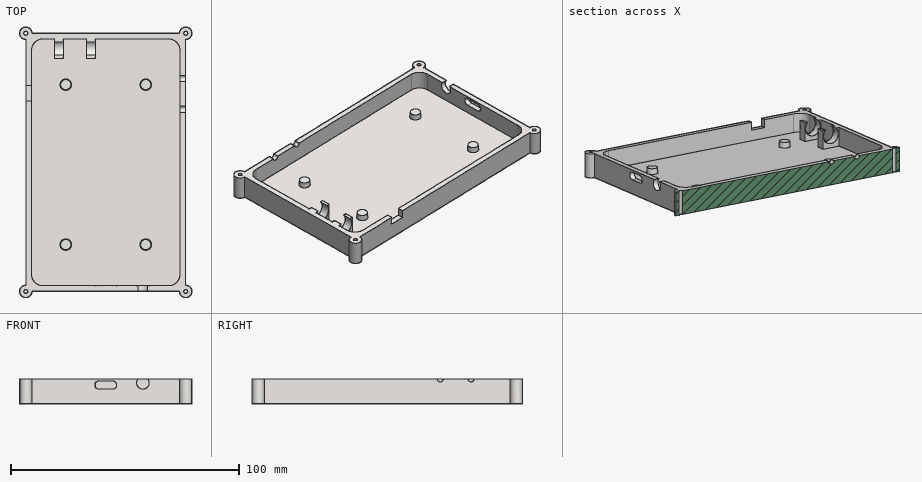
import cadquery as cq

BODY_X = 70.0
BODY_Y = 113.0
HEIGHT = 11.0
WALL = 2.5
FLOOR = 2.5
CAVITY_RADIUS = 5.0

LUG_DIAMETER = 5.5
LUG_HOLE_DIAMETER = 1.6

STANDOFF_BASE_DIAMETER = 5.0
STANDOFF_TOP_DIAMETER = 4.5
STANDOFF_HEIGHT = 2.5
STANDOFF_SPACING_X = 35.0
STANDOFF_SPACING_Y = 70.0
STANDOFF_CENTER_Y = -1.0

CRADLE_CENTERS_X = (-20.5, -6.5)
CRADLE_WIDTH = 4.0
CRADLE_LENGTH = 8.5
CRADLE_BORE_DIAMETER = 7.8
CRADLE_BORE_Y = 49.75
CRADLE_BORE_Z = 8.3

SLOT_LENGTH = 9.6
SLOT_HEIGHT = 3.5
SLOT_CENTER_X = 0.0
SLOT_CENTER_Z = 8.25
PORT_DIAMETER = 5.5
PORT_CENTER_X = 16.25
PORT_CENTER_Z = 9.2

NOTCH_WIDTH = 6.8
NOTCH_DEPTH = 3.6
NOTCH_CENTER_Y = 30.2

GROOVE_CENTERS_Y = (36.7, 23.2)
GROOVE_DIAMETER = 2.7

CAVITY_X = BODY_X - 2 * WALL
CAVITY_Y = BODY_Y - 2 * WALL
INNER_WALL_Y = CAVITY_Y / 2
CUT_LENGTH = 2 * WALL


def make_tray():
    """Open box with rounded cavity corners and a drilled lug at each corner."""
    body = cq.Workplane("XY").box(BODY_X, BODY_Y, HEIGHT, centered=(True, True, False))
    lugs = (
        cq.Workplane("XY")
        .rect(BODY_X, BODY_Y, forConstruction=True)
        .vertices()
        .circle(LUG_DIAMETER / 2)
        .extrude(HEIGHT)
    )
    cavity = (
        cq.Workplane("XY", origin=(0, 0, FLOOR))
        .rect(CAVITY_X, CAVITY_Y)
        .extrude(HEIGHT)
        .edges("|Z")
        .fillet(CAVITY_RADIUS)
    )
    lug_holes = (
        cq.Workplane("XY")
        .rect(BODY_X, BODY_Y, forConstruction=True)
        .vertices()
        .circle(LUG_HOLE_DIAMETER / 2)
        .extrude(HEIGHT)
    )
    return body.union(lugs).cut(cavity).cut(lug_holes)


def make_standoff(x, y):
    """Tapered post standing on the floor, its foot touching the floor surface."""
    return (
        cq.Workplane("XY", origin=(x, y, FLOOR))
        .circle(STANDOFF_BASE_DIAMETER / 2)
        .workplane(offset=STANDOFF_HEIGHT)
        .circle(STANDOFF_TOP_DIAMETER / 2)
        .loft(ruled=True)
    )


def make_cradle(x):
    """Full-height rib on the +Y wall with a bore along X that breaks through its top."""
    left_x = x - CRADLE_WIDTH / 2
    front_y = INNER_WALL_Y - CRADLE_LENGTH
    rib = cq.Workplane("XY", origin=(left_x, front_y, FLOOR)).box(
        CRADLE_WIDTH, CRADLE_LENGTH, HEIGHT - FLOOR, centered=False
    )
    bore = (
        cq.Workplane("YZ", origin=(left_x, 0, 0))
        .center(CRADLE_BORE_Y, CRADLE_BORE_Z)
        .circle(CRADLE_BORE_DIAMETER / 2)
        .extrude(CRADLE_WIDTH)
    )
    return rib.cut(bore)


def front_wall_openings():
    """Rounded slot and open-topped round port through the -Y wall."""
    plane = cq.Workplane("XZ", origin=(0, -INNER_WALL_Y + WALL / 2, 0))
    slot = (
        plane.center(SLOT_CENTER_X, SLOT_CENTER_Z)
        .slot2D(SLOT_LENGTH, SLOT_HEIGHT)
        .extrude(CUT_LENGTH)
    )
    port = (
        plane.center(PORT_CENTER_X, PORT_CENTER_Z)
        .circle(PORT_DIAMETER / 2)
        .extrude(CUT_LENGTH)
    )
    return slot.union(port)


def side_notch():
    """Rectangular notch in the top of the -X wall."""
    return cq.Workplane("XY").box(CUT_LENGTH, NOTCH_WIDTH, 2 * NOTCH_DEPTH).translate(
        (-BODY_X / 2, NOTCH_CENTER_Y, HEIGHT)
    )


def cable_groove(y):
    """Half-round groove across the top of the +X wall."""
    return (
        cq.Workplane("YZ", origin=(CAVITY_X / 2 - WALL / 2, 0, 0))
        .center(y, HEIGHT)
        .circle(GROOVE_DIAMETER / 2)
        .extrude(CUT_LENGTH)
    )


result = make_tray()
for side_x in (-1, 1):
    for side_y in (-1, 1):
        standoff_x = side_x * STANDOFF_SPACING_X / 2
        standoff_y = STANDOFF_CENTER_Y + side_y * STANDOFF_SPACING_Y / 2
        result = result.union(make_standoff(standoff_x, standoff_y))
for cradle_x in CRADLE_CENTERS_X:
    result = result.union(make_cradle(cradle_x))
result = result.cut(front_wall_openings()).cut(side_notch())
for groove_y in GROOVE_CENTERS_Y:
    result = result.cut(cable_groove(groove_y))